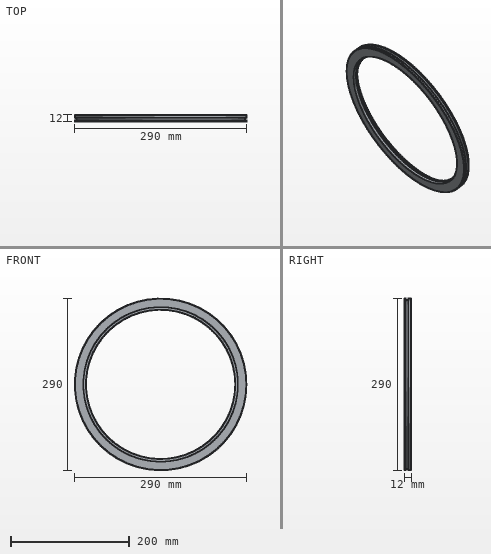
import cadquery as cq

outer_radius = 290 / 2
groove_radius = 285.0 / 2
bore_radius = 251.5 / 2
front_recess_radius = 261 / 2
back_recess_radius = 254.5 / 2

width = 12.0
front_recess_depth = 4.4
back_recess_depth = 5.5
front_flange_width = 2.4
edge_chamfer = 0.5
groove_width = 4.5
groove_wall_depth = outer_radius - groove_radius - groove_width / 2

front = -width / 2
back = width / 2
cutter_overrun = 3
groove_front = front + front_flange_width
groove_back = groove_front + groove_width


def disc(radius, y_start, y_end):
    """Solid disc about the Y axis between two Y positions."""
    plane = cq.Workplane("XZ", origin=(0, y_end, 0))
    return plane.circle(radius).extrude(y_end - y_start)


def rim_groove():
    """Annular cutter with a semicircular floor."""
    groove_middle = (groove_front + groove_back) / 2
    shoulder_radius = outer_radius - groove_wall_depth
    return (
        cq.Workplane("XY")
        .moveTo(outer_radius + cutter_overrun, groove_front)
        .lineTo(shoulder_radius, groove_front)
        .threePointArc((groove_radius, groove_middle), (shoulder_radius, groove_back))
        .lineTo(outer_radius + cutter_overrun, groove_back)
        .close()
        .revolve(360, (0, 0, 0), (0, 1, 0))
    )


result = (
    disc(outer_radius, front, back)
    .edges()
    .chamfer(edge_chamfer)
    .cut(disc(bore_radius, front, back))
    .cut(disc(front_recess_radius, front, front + front_recess_depth))
    .cut(disc(back_recess_radius, back - back_recess_depth, back))
    .cut(rim_groove())
)